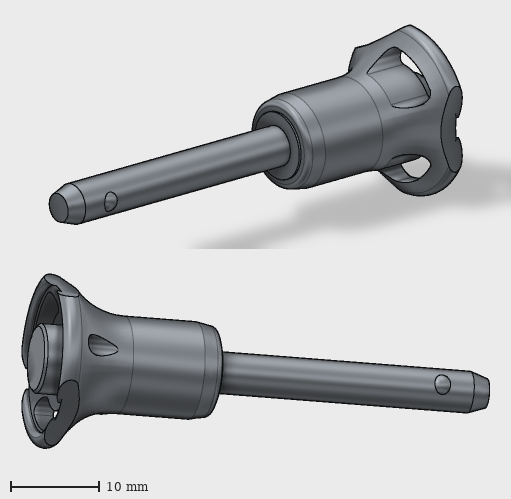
import cadquery as cq
import math


pin_radius = 2.4
pin_length = 32.1
tip_radius = 1.7
tip_length = 2.0
ball_radius = 1.35
ball_reach = 2.75
ball_y = -26.4

collar_radius = 4.0
body_radius = 5.6
body_bottom_y = 0.25
taper_top_y = 2.55
taper_bottom_radius = 5.25
body_edge_round = 0.7
flare_start_y = 11.0

rim_radius = 10.15
bead_radius = 1.1
bead_y = 19.15
inner_round = 0.6
recess_edge_depth = 0.8
recess_middle_depth = 2.9
bead_center = rim_radius - bead_radius
rim_top_y = bead_y + bead_radius

button_radius = collar_radius
button_top_y = 20.95
button_chamfer = 0.3

lobe_count = 3
lobe_pitch = 360 / lobe_count
scallop_middle = 8.35
scallop_corner_angle = 30.8

opening_radius = 1.15
opening_center = 6.95
slot_half_angle = 25
slot_angles = (60, -60)
round_hole_angle = 180


def polar(radius, degrees):
    angle = math.radians(degrees)
    return (radius * math.cos(angle), radius * math.sin(angle))


def handle_prism(outline):
    """Extrude an XZ outline (X right, Z up) along Y through the flared handle."""
    return outline.extrude(-(button_top_y - body_bottom_y)).translate((0, body_bottom_y, 0))


def turned_handle():
    rise = bead_y - flare_start_y
    run = bead_center - body_radius
    flare_radius = (run**2 + rise**2 - bead_radius**2) / (2 * (run + bead_radius))
    flare_center = body_radius + flare_radius
    join_angle = math.degrees(math.atan2(rise, bead_center - flare_center))

    def flare_point(degrees):
        x, y = polar(flare_radius, degrees)
        return (flare_center + x, flare_start_y + y)

    def bead_point(degrees):
        x, y = polar(bead_radius, degrees)
        return (bead_center + x, bead_y + y)

    inner_round_y = rim_top_y - inner_round
    inner_wall_radius = bead_center - inner_round
    inner_x, inner_y = polar(inner_round, 135)
    return (
        cq.Workplane("XY")
        .moveTo(0, body_bottom_y)
        .lineTo(taper_bottom_radius - body_edge_round, body_bottom_y)
        .radiusArc((taper_bottom_radius, body_bottom_y + body_edge_round), -body_edge_round)
        .lineTo(body_radius, taper_top_y)
        .lineTo(body_radius, flare_start_y)
        .threePointArc(flare_point((180 + join_angle) / 2), flare_point(join_angle))
        .threePointArc(bead_point(0), bead_point(90))
        .threePointArc(
            (bead_center + inner_x, inner_round_y + inner_y),
            (inner_wall_radius, inner_round_y),
        )
        .lineTo(inner_wall_radius, rim_top_y - recess_edge_depth)
        .lineTo(button_radius, rim_top_y - recess_middle_depth)
        .lineTo(0, rim_top_y - recess_middle_depth)
        .close()
        .revolve(360, (0, 0), (0, 1))
    )


def scallop(degrees):
    corner_x, corner_z = polar(rim_radius, scallop_corner_angle)
    sagitta = corner_x - scallop_middle
    radius = (corner_z**2 + sagitta**2) / (2 * sagitta)
    outline = cq.Workplane("XZ").center(scallop_middle + radius, 0).circle(radius)
    return handle_prism(outline).rotate((0, 0, 0), (0, 1, 0), -degrees)


def round_hole(degrees):
    return handle_prism(cq.Workplane("XZ").center(*polar(opening_center, degrees)).circle(opening_radius))


def curved_slot(middle):
    start = middle - slot_half_angle
    end = middle + slot_half_angle
    inner = opening_center - opening_radius
    outer = opening_center + opening_radius

    def end_cap(degrees, overshoot):
        x, z = polar(opening_center, degrees)
        dx, dz = polar(opening_radius, degrees + overshoot)
        return (x + dx, z + dz)

    outline = (
        cq.Workplane("XZ")
        .moveTo(*polar(inner, start))
        .threePointArc(polar(inner, middle), polar(inner, end))
        .threePointArc(end_cap(end, 90), polar(outer, end))
        .threePointArc(polar(outer, middle), polar(outer, start))
        .threePointArc(end_cap(start, -90), polar(inner, start))
        .close()
    )
    return handle_prism(outline)


def core():
    """Button, collar and pin, turned in one profile."""
    return (
        cq.Workplane("XY")
        .moveTo(0, -pin_length)
        .lineTo(tip_radius, -pin_length)
        .lineTo(pin_radius, tip_length - pin_length)
        .lineTo(pin_radius, 0)
        .lineTo(collar_radius, 0)
        .lineTo(button_radius, button_top_y - button_chamfer)
        .lineTo(button_radius - button_chamfer, button_top_y)
        .lineTo(0, button_top_y)
        .close()
        .revolve(360, (0, 0), (0, 1))
    )


handle = turned_handle()
for lobe in range(lobe_count):
    handle = handle.cut(scallop(lobe * lobe_pitch))
handle = handle.cut(round_hole(round_hole_angle))
for slot_angle in slot_angles:
    handle = handle.cut(curved_slot(slot_angle))

result = handle.union(core())
for side in (-1, 1):
    ball_x = side * (ball_reach - ball_radius)
    result = result.union(cq.Workplane("XY").sphere(ball_radius).translate((ball_x, ball_y, 0)))